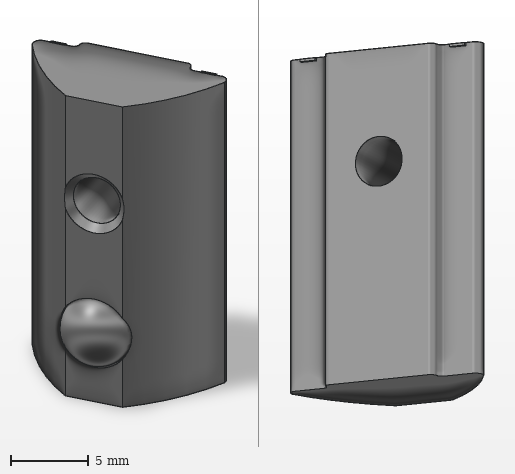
import cadquery as cq


nut_length = 22.0
nut_half_width = 6.75
nut_depth = 7.2
front_flat_half_width = 2.0
neck_half_width = 3.9
neck_radius = 0.4
shoulder_depth = 2 * neck_radius
corner_radius = 0.5
edge_flat = 0.22
side_bulge = 0.45

hole_diameter = 3.3
countersink_diameter = 4.3
countersink_angle = 90.0
hole_z = nut_length - 7.5

ball_diameter = 5.0
ball_radius = ball_diameter / 2
ball_projection = 1.74
ball_y = -nut_depth - ball_projection + ball_radius
ball_z = nut_length - 16.98

pad_width = 1.05
pad_height = 0.22
pad_thickness = 0.18
pad_offset = 5.28
pad_end_inset = 0.05


def half_profile():
    """Closed outline of the +X half of the nut cross-section."""
    corner_end_y = -shoulder_depth - corner_radius
    return (
        cq.Workplane("XY")
        .lineTo(neck_half_width - neck_radius, 0)
        .radiusArc((neck_half_width, -neck_radius), neck_radius)
        .radiusArc((neck_half_width + neck_radius, -shoulder_depth), -neck_radius)
        .lineTo(nut_half_width - corner_radius, -shoulder_depth)
        .radiusArc((nut_half_width, corner_end_y), corner_radius)
        .lineTo(nut_half_width, corner_end_y - edge_flat)
        .sagittaArc((front_flat_half_width, -nut_depth), side_bulge)
        .lineTo(0, -nut_depth)
        .close()
    )


def make_ball():
    return cq.Workplane("XY").sphere(ball_radius).translate((0, ball_y, ball_z))


def make_ball_pocket():
    """Round-bottomed blind bore that opens through the front flat."""
    bottom_y = ball_y + ball_radius
    return (
        cq.Workplane("XY")
        .moveTo(0, bottom_y)
        .radiusArc((ball_radius, ball_y), ball_radius)
        .lineTo(ball_radius, -nut_depth)
        .lineTo(0, -nut_depth)
        .close()
        .revolve(360, (0, 0), (0, 1))
        .translate((0, 0, ball_z))
    )


def make_nut():
    half = half_profile().extrude(nut_length)
    body = half.union(half.mirror("YZ"))
    body = (
        body.faces("<Y")
        .workplane(origin=(0, -nut_depth, hole_z))
        .cskHole(hole_diameter, countersink_diameter, countersink_angle)
    )
    return body.cut(make_ball_pocket())


def make_pad(center_x):
    """Small block standing on a shoulder, just below the top end of the nut."""
    return (
        cq.Workplane("XY")
        .box(pad_width, pad_height, pad_thickness, centered=(True, False, False))
        .translate((center_x, -shoulder_depth, nut_length - pad_end_inset - pad_thickness))
    )


nut = make_nut()
ball = make_ball()
pads = [make_pad(side * pad_offset) for side in (-1, 1)]

result = cq.Compound.makeCompound([nut.val(), ball.val(), *[pad.val() for pad in pads]])